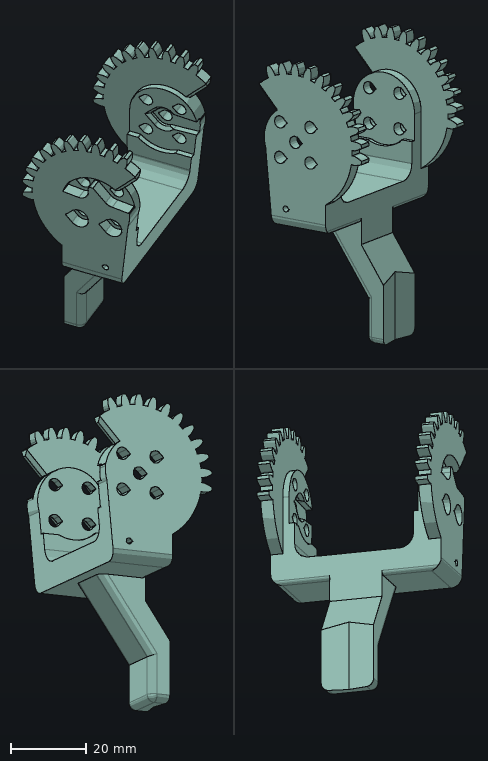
import cadquery as cq
import math


tooth_count = 30
total_height = 79.3
axis_height = 57.6
tip_radius = total_height - axis_height
pressure_angle = math.radians(20)
root_depth_factor = 1.25
module = tip_radius / (tooth_count / 2 + 1)
pitch_radius = module * tooth_count / 2
root_radius = pitch_radius - root_depth_factor * module
base_radius = pitch_radius * math.cos(pressure_angle)
tooth_pitch = 2 * math.pi / tooth_count
first_tooth, last_tooth = -2, 8
gear_thickness = 3.5
gear_end_x = 11.7
gear_end_z = 12.9
gear_end_slope = math.radians(46.5)
gear_end_chamfer = 1.0

total_width = 48.0
half_width = total_width / 2
hub_radius = 10.0
left_x = -hub_radius
right_top_x, right_top_z = 10.0, 1.6
right_bottom_x = 7.45
bottom_z = -24.35
floor_thickness = 7.0
floor_z = bottom_z + floor_thickness
left_ledge_z = -7.4
right_ledge_z = -9.05
cavity_radius = 4.0
outer_corner_radius = 3.0
left_bottom_radius = 1.1

back_plate_thickness = 1.75
back_wall_thickness = 1.6
front_plate_thickness = 3.1
front_wall_thickness = 1.3

gear_inner_y = half_width - gear_thickness
back_plate_y = gear_inner_y - back_plate_thickness
back_wall_y = back_plate_y - back_wall_thickness
front_plate_y = gear_inner_y - front_plate_thickness
front_wall_y = front_plate_y - front_wall_thickness

screw_offset = 4.9
screw_radius = 1.7
screw_head_radius = 2.8
pin_x, pin_z = 3.0, -18.9
pin_radius = 0.8

horn_hub_radius = 2.9
horn_hub_chamfer = 0.95
horn_root_x, horn_root_half = 2.9, 2.5
horn_tip_x, horn_tip_half = 11.1, 2.15

island_top_z = 6.7
island_round = 0.55
recess_left_z = 2.7

leg_half_width = 7.4
leg_bottom_z = -axis_height
leg_left_x, leg_right_x = -17.2, -11.4
leg_upper_knee_z = -30.5
leg_lower_knee_z = -40.6
leg_right_knee_z = -45.3
leg_top_right_x = 3.65
leg_groove_depth = 1.35
leg_edge = 2.0
leg_overlap = 3.2


def right_x(z):
    """X of the slanted right side of the fork at height z."""
    slope = (right_top_x - right_bottom_x) / (right_top_z - bottom_z)
    return right_bottom_x + slope * (z - bottom_z)


def plane_at(y):
    """XZ sketch plane at depth y; its extrusions run towards -Y when positive."""
    return cq.Workplane("XZ", origin=(0, y, 0))


def prism(points, y_start, y_end):
    """Straight-sided XZ outline between two Y positions."""
    return plane_at(y_start).polyline(points).close().extrude(y_start - y_end)


def disc(radius, y_start, y_end, x=0, z=0):
    return plane_at(y_start).center(x, z).circle(radius).extrude(y_start - y_end)


def teardrop(radius, y_start, y_end, x=0, z=0, taper=0):
    """Round hole shape with a square corner pointing towards -X."""
    side = radius * math.sqrt(0.5)
    return (
        plane_at(y_start).center(x, z)
        .moveTo(-radius * math.sqrt(2), 0)
        .lineTo(-side, side)
        .threePointArc((radius, 0), (-side, -side))
        .close()
        .extrude(y_start - y_end, taper=taper)
    )


def polar(radius, angle):
    """Point at an angle counted from +Z towards -X, in radians."""
    return (-radius * math.sin(angle), radius * math.cos(angle))


def involute(radius):
    roll = math.sqrt((radius / base_radius) ** 2 - 1)
    return roll - math.atan(roll)


def half_tooth_angle(radius):
    """Half of the angle one tooth covers at the given radius."""
    at_pitch = tooth_pitch / 4
    return at_pitch + involute(pitch_radius) - involute(max(radius, base_radius))


def tooth(number, y_start, y_end):
    """One tooth, its foot sunk below the root circle."""
    middle = number * tooth_pitch
    sunk_radius = root_radius - module / 2

    def flank(radius, side):
        return polar(radius, middle + side * half_tooth_angle(radius))

    return (
        plane_at(y_start)
        .moveTo(*flank(sunk_radius, -1))
        .lineTo(*flank(base_radius, -1))
        .threePointArc(flank(pitch_radius, -1), flank(tip_radius, -1))
        .threePointArc(polar(tip_radius, middle), flank(tip_radius, 1))
        .threePointArc(flank(pitch_radius, 1), flank(base_radius, 1))
        .lineTo(*flank(sunk_radius, 1))
        .close()
        .extrude(y_start - y_end)
    )


def gear_layer(y_start, y_end):
    """Toothed sector with the outer layer of one arm below it."""
    end_length = root_radius - hub_radius
    end_inner = (
        gear_end_x - end_length * math.cos(gear_end_slope),
        gear_end_z - end_length * math.sin(gear_end_slope),
    )
    sector = (
        plane_at(y_start)
        .moveTo(gear_end_x, math.sqrt(root_radius**2 - gear_end_x**2))
        .threePointArc((-root_radius, 0), (left_x, -math.sqrt(root_radius**2 - left_x**2)))
        .lineTo(left_x, floor_z)
        .lineTo(right_x(floor_z), floor_z)
        .lineTo(right_top_x, right_top_z)
        .lineTo(*end_inner)
        .lineTo(gear_end_x, gear_end_z)
        .close()
        .extrude(y_start - y_end)
    )
    end_middle = [(inner + outer) / 2 for inner, outer in zip(end_inner, (gear_end_x, gear_end_z))]
    for y in (y_start, y_end):
        long_edge = cq.NearestToPointSelector((end_middle[0], y, end_middle[1]))
        sector = sector.edges(long_edge).chamfer(gear_end_chamfer)
    for number in range(first_tooth, last_tooth + 1):
        sector = sector.union(tooth(number, y_start, y_end))
    return sector.union(disc(hub_radius, y_start, y_end))


def plate_layer(y_start, y_end):
    """Round-topped inner plate of one arm."""
    lower = prism(
        [(left_x, 0), (left_x, floor_z), (right_x(floor_z), floor_z), (right_x(0), 0)],
        y_start, y_end,
    )
    return lower.union(disc(hub_radius, y_start, y_end))


def channel():
    """U-shaped lower part, its arms topped by a ledge that follows the hub circle."""
    arc_left_x = -math.sqrt(hub_radius**2 - left_ledge_z**2)
    arc_right_x = math.sqrt(hub_radius**2 - right_ledge_z**2)
    arc_inset = left_bottom_radius * (1 - math.sqrt(0.5))
    solid = (
        plane_at(-half_width)
        .moveTo(left_x, left_ledge_z)
        .lineTo(arc_left_x, left_ledge_z)
        .threePointArc((0, -hub_radius), (arc_right_x, right_ledge_z))
        .lineTo(right_x(right_ledge_z), right_ledge_z)
        .lineTo(right_bottom_x, bottom_z)
        .lineTo(left_x + left_bottom_radius, bottom_z)
        .threePointArc((left_x + arc_inset, bottom_z + arc_inset), (left_x, bottom_z + left_bottom_radius))
        .close()
        .extrude(-2 * half_width)
    )
    length = 4 * hub_radius
    height = -bottom_z
    envelope = (
        cq.Workplane("XY")
        .box(length, 2 * half_width, height)
        .translate((0, 0, bottom_z + height / 2))
        .edges("|X and <Z").fillet(outer_corner_radius)
    )
    cavity = (
        cq.Workplane("XY")
        .box(length, back_wall_y + front_wall_y, height)
        .translate((0, (back_wall_y - front_wall_y) / 2, floor_z + height / 2))
        .edges("|X and <Z").fillet(cavity_radius)
    )
    return solid.intersect(envelope).cut(cavity)


def leg():
    """Cranked leg with rounded edges and a V groove down its lower left face."""
    slant_x = leg_top_right_x - leg_right_x
    slant_z = bottom_z - leg_right_knee_z
    top_z = bottom_z + leg_overlap
    top_right_x = leg_top_right_x + slant_x / slant_z * leg_overlap
    solid = prism(
        [
            (left_x, top_z),
            (left_x, leg_upper_knee_z),
            (leg_left_x, leg_lower_knee_z),
            (leg_left_x, leg_bottom_z),
            (leg_right_x, leg_bottom_z),
            (leg_right_x, leg_right_knee_z),
            (top_right_x, top_z),
        ],
        -leg_half_width, leg_half_width,
    )
    rounded = [(leg_right_x, 0, leg_bottom_z)]
    for y in (-leg_half_width, leg_half_width):
        rounded += [
            ((leg_left_x + leg_right_x) / 2, y, leg_bottom_z),
            (leg_right_x, y, (leg_bottom_z + leg_right_knee_z) / 2),
            ((leg_right_x + top_right_x) / 2, y, (leg_right_knee_z + top_z) / 2),
        ]
    edges = cq.Workplane("XY")
    for middle in rounded:
        edges = edges.add(solid.edges(cq.NearestToPointSelector(middle)))
    solid = cq.Workplane(solid.val().fillet(leg_edge, edges.vals()))
    groove = (
        cq.Workplane("XY", origin=(0, 0, leg_bottom_z))
        .polyline([
            (leg_left_x, -leg_half_width),
            (leg_left_x + leg_groove_depth, 0),
            (leg_left_x, leg_half_width),
        ])
        .close()
        .extrude(leg_upper_knee_z - leg_bottom_z)
    )
    return solid.cut(groove)


def horn_pocket():
    """Teardrop hub with a chamfered rim and a tapered arm that runs out of the +X side."""
    arm = prism(
        [
            (0, horn_root_half),
            (horn_root_x, horn_root_half),
            (horn_tip_x, horn_tip_half),
            (horn_tip_x, -horn_tip_half),
            (horn_root_x, -horn_root_half),
            (0, -horn_root_half),
        ],
        back_plate_y, gear_inner_y,
    )
    hub = teardrop(horn_hub_radius, back_plate_y, gear_inner_y)
    rim_radius = horn_hub_radius + horn_hub_chamfer
    rim = teardrop(rim_radius, back_plate_y, back_plate_y + horn_hub_chamfer, taper=45)
    return arm.union(hub).union(rim)


def head_recess():
    """Part of the hub disc around the upper screws, cut through the front gear layer.

    Its lower border wraps the screw heads and leaves an island between them.
    """
    side = screw_head_radius * math.sqrt(0.5)
    head_bottom_z = screw_offset - screw_head_radius
    tangent = screw_offset - side
    island_left_x = screw_head_radius - screw_offset
    corner_mid = island_round * (1 - math.sqrt(0.5))
    arc_mid_angle = math.pi / 8
    region = (
        plane_at(-half_width)
        .moveTo(-hub_radius, recess_left_z)
        .lineTo(-screw_offset, head_bottom_z)
        .threePointArc((-tangent, tangent), (island_left_x, screw_offset))
        .lineTo(island_left_x, island_top_z - island_round)
        .threePointArc(
            (island_left_x + corner_mid, island_top_z - corner_mid),
            (island_left_x + island_round, island_top_z),
        )
        .lineTo(2 * tangent - island_top_z, island_top_z)
        .lineTo(tangent, tangent)
        .threePointArc(
            (screw_offset - screw_head_radius * math.sin(arc_mid_angle),
             screw_offset - screw_head_radius * math.cos(arc_mid_angle)),
            (screw_offset, head_bottom_z),
        )
        .lineTo(right_top_x, right_top_z)
        .lineTo(right_top_x, hub_radius)
        .lineTo(-hub_radius, hub_radius)
        .close()
        .extrude(-gear_thickness)
    )
    return region.intersect(disc(hub_radius, -half_width, -gear_inner_y))


fork = (
    channel()
    .union(plate_layer(-gear_inner_y, -front_plate_y))
    .union(plate_layer(back_plate_y, gear_inner_y))
    .union(gear_layer(-half_width, -gear_inner_y))
    .union(gear_layer(gear_inner_y, half_width))
    .union(leg())
    .cut(horn_pocket())
    .cut(head_recess())
)
for x in (-screw_offset, screw_offset):
    for z in (-screw_offset, screw_offset):
        fork = fork.cut(teardrop(screw_radius, -half_width, half_width, x, z))
    fork = fork.cut(teardrop(screw_head_radius, -half_width, -gear_inner_y, x, -screw_offset))
fork = fork.cut(teardrop(screw_radius, 0, half_width))
fork = fork.cut(teardrop(pin_radius, -half_width, half_width, pin_x, pin_z))

result = fork